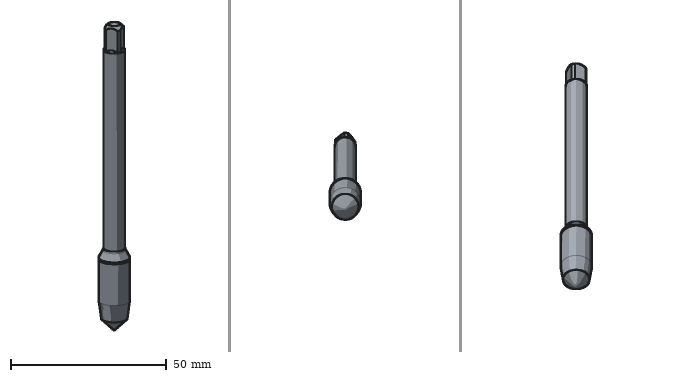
import cadquery as cq

TOTAL_LENGTH = 104.4
TAPER_TOP = 10.2
SPLIT_HEIGHT = 24.3
COLLAR_TOP = 25.0
CONE_TOP = 27.5
NECK_TOP = 28.1
SHANK_TOP = 95.6

HEAD_DIAMETER = 10.1
TAPER_END_DIAMETER = 8.6
SHANK_DIAMETER = 7.0
DRIVE_CORNER_DIAMETER = 6.7
DRIVE_TOP_DIAMETER = 4.1
CONE_TOP_DIAMETER = 7.5

DRIVE_WIDTH = 5.4
SHOULDER_HEIGHT = 0.7
DRIVE_CHAMFER = (DRIVE_CORNER_DIAMETER - DRIVE_TOP_DIAMETER) / 2


def revolve_profile(points):
    """Revolve (radius, height) points about the Z axis."""
    return (
        cq.Workplane("XZ")
        .polyline(points)
        .close()
        .revolve(360, (0, 0, 0), (0, 1, 0))
    )


def make_cutting_head():
    """Pointed tip, tapered lead and straight cutting section."""
    head_radius = HEAD_DIAMETER / 2
    tip_radius = TAPER_END_DIAMETER / 2
    return revolve_profile([
        (0, 0),
        (tip_radius, tip_radius),
        (head_radius, TAPER_TOP),
        (head_radius, SPLIT_HEIGHT),
        (0, SPLIT_HEIGHT),
    ])


def make_square_drive():
    """Square with rounded corners and a conical top chamfer."""
    drive_length = TOTAL_LENGTH - SHANK_TOP
    envelope = (
        cq.Workplane("XY", origin=(0, 0, SHANK_TOP))
        .circle(DRIVE_CORNER_DIAMETER / 2)
        .extrude(drive_length)
        .faces(">Z")
        .chamfer(DRIVE_CHAMFER)
    )
    square = (
        cq.Workplane("XY", origin=(0, 0, SHANK_TOP))
        .rect(DRIVE_WIDTH, DRIVE_WIDTH)
        .extrude(drive_length)
    )
    return envelope.intersect(square)


def make_shank():
    """Collar that narrows to a round shank, ending in the square drive."""
    collar_radius = HEAD_DIAMETER / 2
    shank_radius = SHANK_DIAMETER / 2
    round_part = revolve_profile([
        (0, SPLIT_HEIGHT),
        (collar_radius, SPLIT_HEIGHT),
        (collar_radius, COLLAR_TOP),
        (CONE_TOP_DIAMETER / 2, CONE_TOP),
        (shank_radius, NECK_TOP),
        (shank_radius, SHANK_TOP),
        (DRIVE_WIDTH / 2, SHANK_TOP + SHOULDER_HEIGHT),
        (0, SHANK_TOP + SHOULDER_HEIGHT),
    ])
    return round_part.union(make_square_drive())


cutting_head = make_cutting_head()
shank = make_shank()
result = cq.Compound.makeCompound([cutting_head.val(), shank.val()])